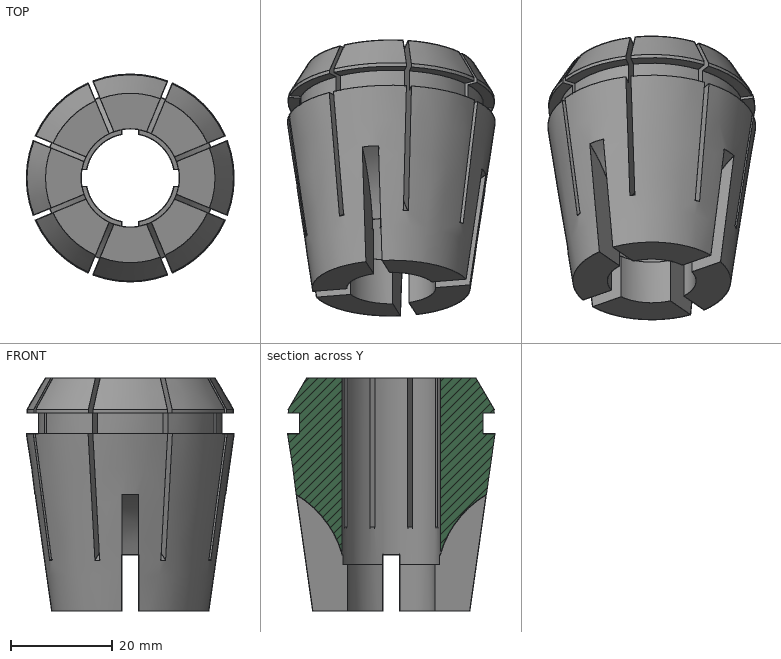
import cadquery as cq
import math

height = 46.0
taper_angle = 8.0
max_radius = 41.0 / 2

shoulder_z = 35.0
groove_top_z = 39.05
groove_radius = 18.12
rim_radius = 20.35
rim_top_z = 39.8
nose_radius = 16.7

bore_radius = 9.65
lip_radius = 8.75
lip_height = 9.2

slit_count = 8
slit_width = 1.0
slit_outer_z = 10.05
slit_inner_z = 16.55

drive_slot_count = 4
drive_slot_width = 3.25
drive_slot_outer_z = 23.0
drive_slot_inner_z = 11.1

cutter_radius = 20.0

clearance = 2.3
reach = max_radius + clearance


def body_radius(z):
    """Outer radius of the tapered body at height z, below the shoulder."""
    return max_radius - (shoulder_z - z) * math.tan(math.radians(taper_angle))


def arc_middle(start, end):
    """Midpoint of a cutter arc that bulges to the left of the path from start to end."""
    dx = end[0] - start[0]
    dz = end[1] - start[1]
    chord = math.hypot(dx, dz)
    bulge = cutter_radius - math.sqrt(cutter_radius**2 - (chord / 2) ** 2)
    mid_x = (start[0] + end[0]) / 2 - bulge * dz / chord
    mid_z = (start[1] + end[1]) / 2 + bulge * dx / chord
    return mid_x, mid_z


def make_body():
    """Revolve the outer profile together with the stepped bore."""
    return (
        cq.Workplane("XZ")
        .moveTo(lip_radius, 0)
        .lineTo(body_radius(0), 0)
        .lineTo(max_radius, shoulder_z)
        .lineTo(groove_radius, shoulder_z)
        .lineTo(groove_radius, groove_top_z)
        .lineTo(rim_radius, groove_top_z)
        .lineTo(rim_radius, rim_top_z)
        .lineTo(nose_radius, height)
        .lineTo(bore_radius, height)
        .lineTo(bore_radius, lip_height)
        .lineTo(lip_radius, lip_height)
        .close()
        .revolve(360, (0, 0), (0, 1))
    )


def make_clamping_slit():
    """Narrow radial cutter along +X, open at the top, with a floor rising toward the bore."""
    inner = (bore_radius, slit_inner_z)
    outer = (body_radius(slit_outer_z), slit_outer_z)
    return (
        cq.Workplane("XZ")
        .moveTo(0, height + clearance)
        .lineTo(0, slit_inner_z)
        .lineTo(*inner)
        .threePointArc(arc_middle(outer, inner), outer)
        .lineTo(reach, slit_outer_z)
        .lineTo(reach, height + clearance)
        .close()
        .extrude(slit_width / 2, both=True)
    )


def make_drive_slot():
    """Wide radial cutter along +X, open at the bottom, with a roof rising toward the outside."""
    inner = (bore_radius, drive_slot_inner_z)
    outer = (body_radius(drive_slot_outer_z), drive_slot_outer_z)
    return (
        cq.Workplane("XZ")
        .moveTo(0, -clearance)
        .lineTo(0, drive_slot_inner_z)
        .lineTo(*inner)
        .threePointArc(arc_middle(inner, outer), outer)
        .lineTo(reach, drive_slot_outer_z)
        .lineTo(reach, -clearance)
        .close()
        .extrude(drive_slot_width / 2, both=True)
    )


def cut_around(part, cutter, count, first_angle):
    """Cut evenly spaced copies of a cutter around the Z axis."""
    for index in range(count):
        angle = first_angle + index * 360 / count
        part = part.cut(cutter.rotate((0, 0, 0), (0, 0, 1), angle))
    return part


result = make_body()
result = cut_around(result, make_clamping_slit(), slit_count, 180 / slit_count)
result = cut_around(result, make_drive_slot(), drive_slot_count, 0)